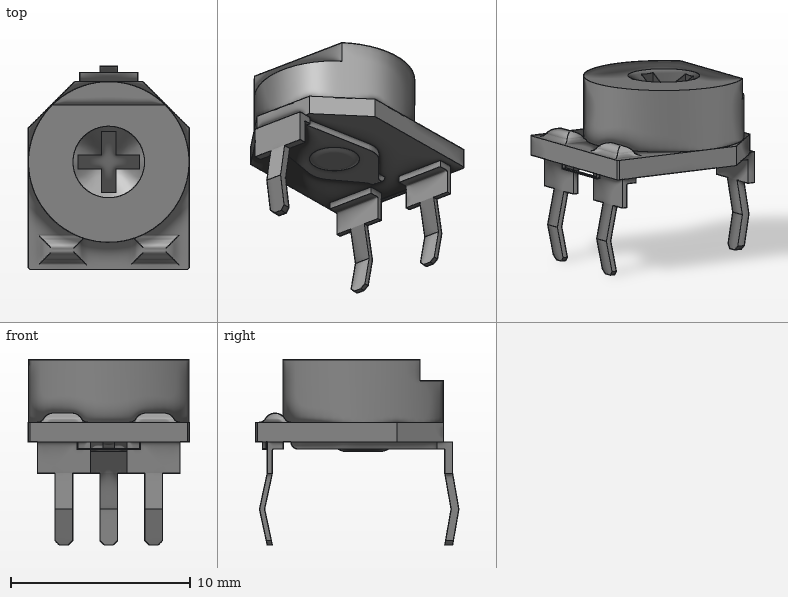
import cadquery as cq
import math


board_width = 8.99
board_front = 6.0
board_back = board_width / 2
board_thickness = 1.1
back_chamfer = 2.6
front_chamfer = 0.1

rotor_radius = 4.48
rotor_height = 3.5
rotor_top = board_thickness + rotor_height
step_y = 3.18
step_depth = 1.17
recess_radius = 2.0
recess_slope = 31
slot_length = 3.4
slot_width = 0.78
slot_depth = 2.0

mound_spacing = 5.15
mound_y = -4.91
mound_length = 2.8
mound_width = 1.77
mound_height = 0.51
flare_width = 0.33
flare_height = 0.17

sheet = 0.4
shoulder_bottom = -1.75
bend_z = -3.75
leg_bottom = -5.75
leg_width = 1.0
tip_chamfer = 0.25
terminal_pitch = 5.0

front_face = -5.36
front_thickness = 0.3
front_foot_end = -4.45
front_shoulder_width = 2.97
front_bow = 0.43
foot_fillet = 0.08

back_face = 4.99
back_thickness = 0.44
back_foot_end = 4.11
back_shoulder_width = 3.25
back_bow = 0.35

neck_half_width = 1.38
flank_angle = 10
taper_angle = 40
hip_y = -0.42
hip_radius = 1.5
finger_half_width = 0.33
finger_fillet = 0.7
finger_start = -3.71
finger_tip = -4.03

rivet_radius = 1.4
rivet_flat_radius = 1.0
rivet_drop = 0.12
frame_width = 3.54
frame_depth = 0.41
frame_wall = 0.05
frame_back = -5.4
frame_front = -5.63


def box(x_min, x_max, y_min, y_max, z_min, z_max):
    size = (x_max - x_min, y_max - y_min, z_max - z_min)
    return cq.Workplane("XY").box(*size, centered=False).translate((x_min, y_min, z_min))


def make_board():
    half = board_width / 2
    right_side = [
        (half - front_chamfer, -board_front),
        (half, -board_front + front_chamfer),
        (half, board_back - back_chamfer),
        (half - back_chamfer, board_back),
    ]
    left_side = [(-x, y) for x, y in reversed(right_side)]
    return cq.Workplane("XY").polyline(right_side + left_side).close().extrude(board_thickness)


def make_rotor():
    body = cq.Workplane("XY").circle(rotor_radius).extrude(rotor_top)
    step = box(-rotor_radius, rotor_radius, step_y, rotor_radius, rotor_top - step_depth, rotor_top)
    cone_depth = recess_radius * math.tan(math.radians(recess_slope))
    recess = (
        cq.Workplane("XZ")
        .polyline([(0, rotor_top), (recess_radius, rotor_top), (0, rotor_top - cone_depth)])
        .close()
        .revolve(360, (0, 0, 0), (0, 1, 0))
    )
    slot = cq.Workplane("XY").workplane(offset=rotor_top - slot_depth)
    slot_x = slot.rect(slot_length, slot_width).extrude(slot_depth)
    slot_y = slot.rect(slot_width, slot_length).extrude(slot_depth)
    return body.cut(step).cut(recess).cut(slot_x).cut(slot_y)


def mound_bar(plane, length, depth):
    """Bar whose end slopes flare up from the board and round over to the ridge height."""
    flare_radius = (flare_width**2 + flare_height**2) / (2 * flare_height)
    dome_width = mound_width / 2 - flare_width
    dome_height = mound_height - flare_height
    dome_radius = (dome_width**2 + dome_height**2) / (2 * dome_height)
    half = length / 2
    shoulder = half - flare_width
    ridge = (length - mound_width) / 2

    flare_half_angle = math.asin(flare_width / flare_radius) / 2
    flare_mid = (
        half - flare_radius * math.sin(flare_half_angle),
        flare_radius * (1 - math.cos(flare_half_angle)),
    )
    dome_half_angle = math.asin(dome_width / dome_radius) / 2
    dome_mid = (
        ridge + dome_radius * math.sin(dome_half_angle),
        mound_height - dome_radius * (1 - math.cos(dome_half_angle)),
    )
    outline = (
        cq.Workplane(plane)
        .moveTo(half, 0)
        .threePointArc(flare_mid, (shoulder, flare_height))
        .threePointArc(dome_mid, (ridge, mound_height))
    )
    if ridge > 0:
        outline = outline.lineTo(-ridge, mound_height)
    outline = (
        outline.threePointArc((-dome_mid[0], dome_mid[1]), (-shoulder, flare_height))
        .threePointArc((-flare_mid[0], flare_mid[1]), (-half, 0))
        .close()
    )
    return outline.extrude(depth / 2, both=True)


def make_mound(x):
    along_x = mound_bar("XZ", mound_length, mound_width)
    along_y = mound_bar("YZ", mound_width, mound_length)
    return along_x.intersect(along_y).translate((x, mound_y, board_thickness))


def make_terminal(x, face, thickness, foot_end, shoulder_width, bow):
    """Terminal with a foot under the board, a wide shoulder and a narrow bowed leg."""
    outward = math.copysign(1, face)
    inner = face - outward * thickness
    left = x - shoulder_width / 2
    shoulder = (
        cq.Workplane("YZ")
        .polyline([
            (foot_end, 0),
            (face, 0),
            (face, shoulder_bottom),
            (inner, shoulder_bottom),
            (inner, -sheet),
            (foot_end, -sheet),
        ])
        .close()
        .extrude(shoulder_width)
        .translate((left, 0, 0))
    )
    leg = (
        cq.Workplane("YZ")
        .polyline([
            (face, shoulder_bottom),
            (face + outward * bow, bend_z),
            (face, leg_bottom),
            (inner, leg_bottom),
            (inner + outward * bow, bend_z),
            (inner, shoulder_bottom),
        ])
        .close()
        .extrude(leg_width / 2, both=True)
        .translate((x, 0, 0))
    )
    for side in (-1, 1):
        edge = x + side * leg_width / 2
        corner = (
            cq.Workplane("XZ")
            .polyline([
                (edge, leg_bottom),
                (edge - side * tip_chamfer, leg_bottom),
                (edge, leg_bottom + tip_chamfer),
            ])
            .close()
            .extrude(board_width, both=True)
        )
        leg = leg.cut(corner)
    return shoulder.union(leg)


def make_front_terminal(x):
    """Front terminal, with its inner bend between foot and shoulder rounded."""
    terminal = make_terminal(
        x, front_face, front_thickness, front_foot_end, front_shoulder_width, front_bow
    )
    inner = front_face + front_thickness
    corner = cq.selectors.NearestToPointSelector((x, inner, -sheet))
    return terminal.edges("|X").edges(corner).fillet(foot_fillet)


def make_wiper():
    flank = math.radians(flank_angle)
    taper = math.radians(taper_angle)

    def hip_point(angle):
        """Point on the hip arc, with the angle measured from +X towards -Y."""
        return (
            hip_center_x + hip_radius * math.cos(angle),
            hip_center_y - hip_radius * math.sin(angle),
        )

    hip_start_x = neck_half_width + (back_foot_end - hip_y) * math.tan(flank)
    hip_center_x = hip_start_x - hip_radius * math.cos(flank)
    hip_center_y = hip_y - hip_radius * math.sin(flank)

    fillet_center_x = finger_half_width + finger_fillet
    taper_end = (
        fillet_center_x - finger_fillet * math.cos(taper),
        finger_start + finger_fillet * math.sin(taper),
    )
    fillet_mid = (
        fillet_center_x - finger_fillet * math.cos(taper / 2),
        finger_start + finger_fillet * math.sin(taper / 2),
    )
    half_plate = (
        cq.Workplane("XY")
        .moveTo(0, back_foot_end)
        .lineTo(neck_half_width, back_foot_end)
        .lineTo(hip_start_x, hip_y)
        .threePointArc(hip_point((taper - flank) / 2), hip_point(taper))
        .lineTo(*taper_end)
        .threePointArc(fillet_mid, (finger_half_width, finger_start))
        .lineTo(finger_half_width, finger_tip)
        .lineTo(0, finger_tip)
        .close()
        .extrude(-sheet)
    )
    plate = half_plate.union(half_plate.mirror("YZ"))

    tip_mid = sheet * math.sqrt(0.5)
    tip_waste = (
        cq.Workplane("YZ")
        .moveTo(finger_tip, 0)
        .threePointArc(
            (finger_tip + sheet - tip_mid, -tip_mid),
            (finger_tip + sheet, -sheet),
        )
        .lineTo(finger_tip, -sheet)
        .close()
        .extrude(finger_half_width, both=True)
    )
    return plate.cut(tip_waste)


def make_rivet():
    rim = rivet_radius - rivet_flat_radius
    edge_radius = (rim**2 + rivet_drop**2) / (2 * rivet_drop)
    half_angle = math.asin(rim / edge_radius) / 2
    bottom = -sheet - rivet_drop
    edge_mid = (
        rivet_flat_radius + edge_radius * math.sin(half_angle),
        bottom + edge_radius * (1 - math.cos(half_angle)),
    )
    return (
        cq.Workplane("XZ")
        .moveTo(0, 0)
        .lineTo(rivet_radius, 0)
        .lineTo(rivet_radius, -sheet)
        .threePointArc(edge_mid, (rivet_flat_radius, bottom))
        .lineTo(0, bottom)
        .close()
        .revolve(360, (0, 0, 0), (0, 1, 0))
    )


def make_frame():
    half = frame_width / 2
    outer = box(-half, half, frame_front, frame_back, -frame_depth, 0)
    inside = half - frame_wall
    opening = box(-inside, inside, frame_front, frame_back, frame_wall - frame_depth, 0)
    return outer.cut(opening)


result = make_board().union(make_rotor())
for side in (-1, 1):
    result = result.union(make_mound(side * mound_spacing / 2))
    result = result.union(make_front_terminal(side * terminal_pitch / 2))
back_terminal = make_terminal(
    0, back_face, back_thickness, back_foot_end, back_shoulder_width, back_bow
)
result = result.union(back_terminal).union(make_wiper()).union(make_rivet()).union(make_frame())